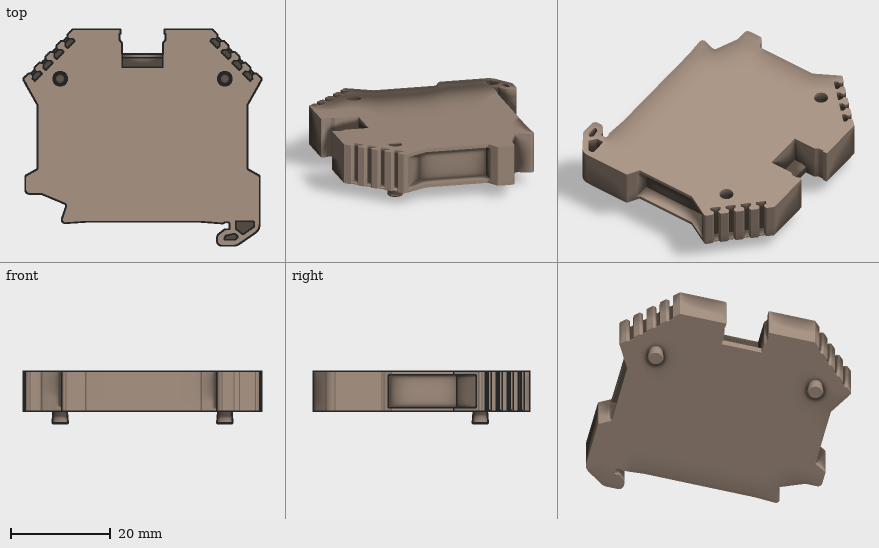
import cadquery as cq
import math

thickness = 8.1
head_half_width = 47.85 / 2
head_top = 38.7
head_corner_cut = 0.134
hook_bottom = head_top - 43.5
shoulder_half_width = 14.0
waist_half_width = 21.08
waist_top = 23.45
waist_bottom = 10.66
base_half_width = 23.55
base_top = 9.25
base_bottom = 5.6

rail_lip_drop = 0.35
foot_neck_x = 15.4
hook_tip_x = 14.93
hook_throat_x = 17.42
hook_throat_top = -0.08
hook_throat_bottom = -1.46
hook_pocket_floor = 0.7

notch_half_width = 4.1
notch_floor = 31.05
notch_lip_half_width = 4.37
notch_recess_half_width = 4.6
notch_lip_bottom = 37.75
notch_recess_bottom = 36.6
notch_narrow_top = 35.9
ledge_height = 2.0
ledge_edge = 33.75
ledge_bevel_width = 0.8
ledge_bevel_drop = 0.4

slot_count = 4
slot_pitch = 3.1
first_slot_distance = 2.42
slot_mouth_half = 0.82
slot_neck_half = 0.48
slot_neck_start = 0.5
slot_neck_end = 0.82
slot_back_half = 1.03
slot_back_start = 1.32
slot_depth = 1.97
slot_floor = 0.45
slot_bevel_start = 0.33
slot_bevel_drop = 0.22

pocket_wall = 0.7
pocket_bottom = 10.3
pocket_back_x = 18.2
pocket_back_top = 24.05
pocket_mouth_x = 23.5
pocket_mouth_top = 27.85
pocket_corner_radius = 0.3

pin_x = 16.53
pin_y = 28.75
pin_length = 2.5
pin_neck_radius = 1.42
pin_tip_radius = 1.6
pin_tip_chamfer = 0.25
socket_mouth_radius = 1.4
socket_throat_radius = 1.25
socket_end_radius = 1.0
socket_depth = 3.0
socket_cone_depth = 0.4


def rounded_outline(corners):
    """Closed wire through (x, y, radius) corners; a radius of 0 leaves the corner sharp."""
    points = [cq.Vector(x, y) for x, y, _ in corners]
    stretches = []
    for i, (_, _, radius) in enumerate(corners):
        corner = points[i]
        if radius == 0:
            stretches.append((corner, None, corner))
            continue
        back = (points[i - 1] - corner).normalized()
        ahead = (points[(i + 1) % len(points)] - corner).normalized()
        half_angle = back.getAngle(ahead) / 2
        reach = radius / math.tan(half_angle)
        bisector = (back + ahead).normalized()
        middle = corner + bisector * (radius / math.sin(half_angle) - radius)
        stretches.append((corner + back * reach, middle, corner + ahead * reach))
    path = cq.Workplane("XY").moveTo(*stretches[0][2].toTuple()[:2])
    for start, middle, end in stretches[1:] + stretches[:1]:
        path = path.lineTo(start.x, start.y)
        if middle is not None:
            path = path.threePointArc((middle.x, middle.y), (end.x, end.y))
    return path.close()


def both_sides(right_half):
    """A shape on the +X side together with its mirror image."""
    return right_half.union(right_half.mirror("YZ"))


def housing():
    """The plate outline, head and base alike on both sides, clockwise from the notch."""
    head_right = [
        (notch_half_width, notch_floor, 0),
        (notch_half_width, notch_narrow_top, 0),
        (notch_recess_half_width, notch_recess_bottom, 0.3),
        (notch_recess_half_width, notch_lip_bottom, 0),
        (notch_lip_half_width, notch_lip_bottom, 0),
        (notch_lip_half_width, head_top, 0.2),
        (shoulder_half_width, head_top, 0),
        (22.93, 29.77, 0),
        (head_half_width + head_corner_cut, 28.75, 0.5),
        (waist_half_width, waist_top, 0),
        (waist_half_width, waist_bottom, 0.35),
        (base_half_width, base_top, 0.4),
    ]
    hook = [
        (base_half_width, -1.6, 2.2),
        (18.9, hook_bottom, 1.9),
        (hook_tip_x, hook_bottom, 1.0),
        (hook_tip_x, -2.7, 1.2),
        (16.5, hook_throat_bottom, 0.8),
        (hook_throat_x, hook_throat_bottom, 0),
        (hook_throat_x, hook_throat_top, 0.3),
        (16.55, hook_throat_top, 0),
        (16.25, -rail_lip_drop, 0.8),
    ]
    foot = [
        (11.75, 0, 2.0),
        (-11.45, 0, 2.0),
        (-16.55, -rail_lip_drop, 0.75),
        (-foot_neck_x, 3.0, 0.5),
        (-foot_neck_x, 3.55, 0.3),
        (-20.3, base_bottom, 0.4),
        (-base_half_width, base_bottom, 0.9),
    ]
    head_left = [(-x, y, radius) for x, y, radius in reversed(head_right)]
    return rounded_outline(head_right + hook + foot + head_left).extrude(thickness)


def notch_ledge():
    """Low step with a beveled front edge across the bottom of the notch."""
    section = [
        (notch_floor, 0),
        (ledge_edge, 0),
        (ledge_edge, ledge_height - ledge_bevel_drop),
        (ledge_edge - ledge_bevel_width, ledge_height),
        (notch_floor, ledge_height),
    ]
    return cq.Workplane("YZ").polyline(section).close().extrude(notch_half_width, both=True)


def marker_slot():
    """One slot opening toward +Y at the origin, with a beveled floor at its mouth."""
    right_side = [
        (slot_mouth_half, 0),
        (slot_neck_half, -slot_neck_start),
        (slot_neck_half, -slot_neck_end),
        (slot_back_half, -slot_back_start),
        (slot_back_half, -slot_depth),
    ]
    left_side = [(-x, y) for x, y in reversed(right_side)]
    slot = cq.Workplane("XY").polyline(right_side + left_side).close().extrude(thickness)
    floor = (
        cq.Workplane("YZ")
        .polyline([
            (-slot_depth, 0),
            (-slot_bevel_start, 0),
            (-slot_bevel_start, slot_floor - slot_bevel_drop),
            (-slot_neck_end, slot_floor),
            (-slot_depth, slot_floor),
        ])
        .close()
        .extrude(slot_back_half, both=True)
    )
    return slot.cut(floor)


def marker_slots():
    """A row of slots down each 45 degree shoulder."""
    slot = marker_slot().rotate((0, 0, 0), (0, 0, 1), -45)
    slots = cq.Workplane("XY")
    for i in range(slot_count):
        along = (first_slot_distance + i * slot_pitch) * math.sqrt(0.5)
        slots = slots.union(slot.translate((shoulder_half_width + along, head_top - along, 0)))
    return both_sides(slots)


def flank_pockets():
    """Recess behind each waist, its upper end sloping up and out to the head corner."""
    beyond = head_half_width + head_corner_cut
    slope = (pocket_mouth_top - pocket_back_top) / (pocket_mouth_x - pocket_back_x)
    pocket = (
        cq.Workplane("XY", origin=(0, 0, pocket_wall))
        .polyline([
            (pocket_back_x, pocket_bottom),
            (beyond, pocket_bottom),
            (beyond, pocket_back_top + slope * (beyond - pocket_back_x)),
            (pocket_back_x, pocket_back_top),
        ])
        .close()
        .extrude(thickness - 2 * pocket_wall)
    )
    pocket = pocket.faces(">Y or <Y").edges("#Z").fillet(pocket_corner_radius)
    return both_sides(pocket)


def hook_pockets():
    """Two blind recesses that lighten the spring hook, open at the top face."""
    large = [
        (18.72, 0.14, 0),
        (22.4, 0.14, 0.3),
        (22.4, -0.95, 0.3),
        (20.15, -2.5, 0),
        (18.72, -1.4, 0),
    ]
    small = [
        (16.3, -3.6, 0.2),
        (16.7, -2.75, 0),
        (18.5, -2.35, 0.2),
        (19.2, -2.95, 0.2),
        (18.6, -3.6, 0),
    ]
    depth = thickness - hook_pocket_floor
    pockets = rounded_outline(large).extrude(depth).union(rounded_outline(small).extrude(depth))
    return pockets.translate((0, 0, hook_pocket_floor))


def pins():
    """Pins under the head, widening toward a chamfered tip."""
    profile = [
        (0, 0),
        (pin_neck_radius, 0),
        (pin_tip_radius, pin_tip_chamfer - pin_length),
        (pin_tip_radius - pin_tip_chamfer, -pin_length),
        (0, -pin_length),
    ]
    pin = cq.Workplane("XZ").polyline(profile).close().revolve(360, (0, 0), (0, 1))
    return both_sides(pin.translate((pin_x, pin_y, 0)))


def sockets():
    """Tapered blind holes with a conical end, in line with the pins."""
    profile = [
        (0, thickness),
        (socket_mouth_radius, thickness),
        (socket_throat_radius, thickness - socket_depth + socket_cone_depth),
        (socket_end_radius, thickness - socket_depth),
        (0, thickness - socket_depth),
    ]
    socket = cq.Workplane("XZ").polyline(profile).close().revolve(360, (0, 0), (0, 1))
    return both_sides(socket.translate((pin_x, pin_y, 0)))


body = housing().union(notch_ledge()).union(pins())
result = body.cut(marker_slots()).cut(flank_pockets()).cut(hook_pockets()).cut(sockets())